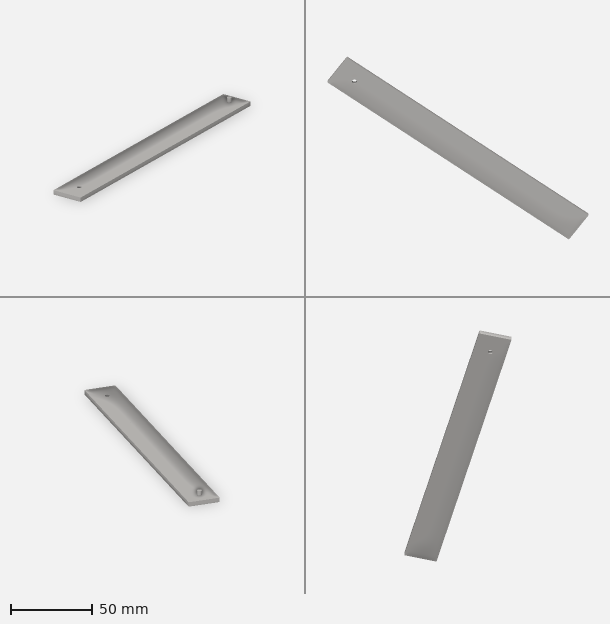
import cadquery as cq

length = 182.9
width = 20.3
thickness = 3.0

total_height = 6.0
pin_diameter = 3.0
pin_end_distance = 8.2
hole_diameter = 3.0
hole_end_distance = 13.0

pin_y = length / 2 - pin_end_distance
hole_y = -length / 2 + hole_end_distance

bar = cq.Workplane("XY").box(width, length, thickness, centered=(True, True, False))

pin = cq.Workplane("XY").center(0, pin_y).circle(pin_diameter / 2).extrude(total_height)

hole = cq.Workplane("XY").center(0, hole_y).circle(hole_diameter / 2).extrude(thickness)

result = bar.union(pin).cut(hole)